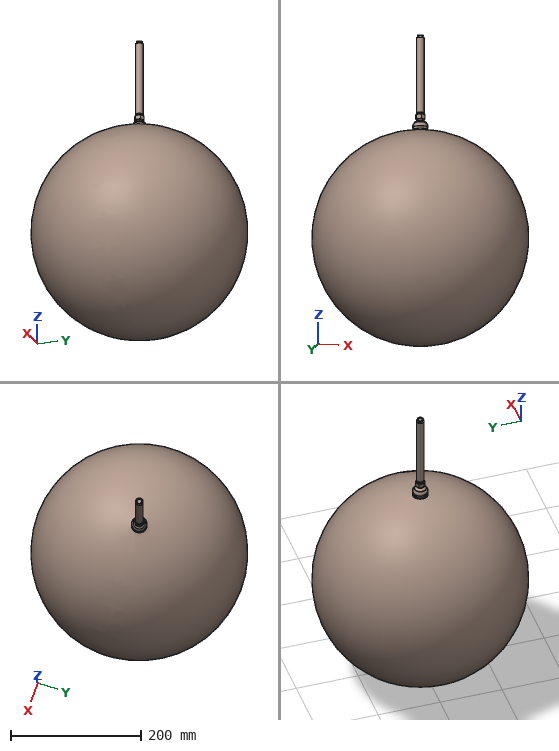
import cadquery as cq
import math

overall_height = 483.0
globe_diameter = 334.0
globe_radius = globe_diameter / 2

rod_diameter = 12.0
rod_bottom = 362.5
rod_top = 479.2
cap_neck_diameter = 7.0
cap_diameter = 9.0
cap_thickness = 1.0

nut_across_flats = 13.5
nut_bottom = 351.5
nut_top = 360.0
nut_chamfer = 1.5
neck_diameter = 9.0

foot_diameter = 37.5
foot_top = 334.5
collar_diameter = 24.0
waist_diameter = 22.0
bulge_diameter = 23.0
lip_diameter = 18.5
cone_top_diameter = 8.0
base_top = 336.2
dome_bottom = 340.0
dome_top = 346.5
lip_thickness = 1.0
cone_top = 350.0


def cylinder(diameter, bottom, top):
    return cq.Workplane("XY").workplane(offset=bottom).circle(diameter / 2).extrude(top - bottom)


def make_globe_and_collar():
    """Revolve the half outline of the globe, the stepped collar and its cone in one piece."""
    collar_radius = collar_diameter / 2
    waist_radius = waist_diameter / 2
    lip_radius = lip_diameter / 2
    foot_radius = foot_diameter / 2
    foot_bottom = globe_radius + math.sqrt(globe_radius**2 - foot_radius**2)
    lip_top = dome_top + lip_thickness
    return (
        cq.Workplane("XZ")
        .threePointArc((globe_radius, globe_radius), (foot_radius, foot_bottom))
        .lineTo(collar_radius, foot_top)
        .lineTo(collar_radius, base_top)
        .lineTo(waist_radius, base_top)
        .lineTo(waist_radius, dome_bottom)
        .lineTo(collar_radius, dome_bottom)
        .threePointArc((bulge_diameter / 2, (dome_bottom + dome_top) / 2), (lip_radius, dome_top))
        .lineTo(lip_radius, lip_top)
        .lineTo(cone_top_diameter / 2, cone_top)
        .lineTo(0, cone_top)
        .close()
        .revolve(360, (0, 0, 0), (0, 1, 0))
    )


def make_nut():
    corner_diameter = nut_across_flats / math.cos(math.pi / 6)
    prism = (
        cq.Workplane("XY")
        .workplane(offset=nut_bottom)
        .polygon(6, corner_diameter)
        .extrude(nut_top - nut_bottom)
        .rotate((0, 0, 0), (0, 0, 1), 90)
    )
    chamfered_round = cylinder(corner_diameter, nut_bottom, nut_top).edges().chamfer(nut_chamfer)
    return prism.intersect(chamfered_round)


def make_rod():
    rod = cylinder(rod_diameter, rod_bottom, rod_top)
    neck = cylinder(neck_diameter, dome_top, rod_bottom)
    cap_neck = cylinder(cap_neck_diameter, rod_top, overall_height)
    cap = cylinder(cap_diameter, overall_height - cap_thickness, overall_height)
    return rod.union(neck).union(cap_neck).union(cap)


result = make_globe_and_collar().union(make_nut()).union(make_rod())